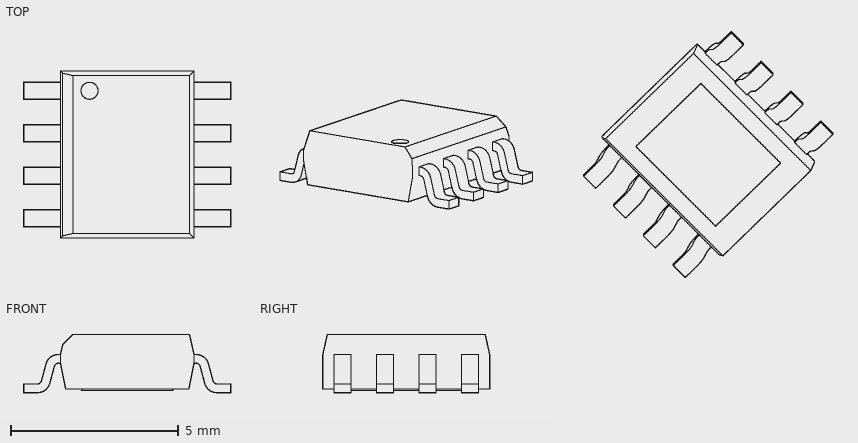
import cadquery as cq
import math

overall_length = 6.2
overall_height = 1.75

housing_length = 4.0
housing_width = 5.0
housing_bottom = 0.11
top_taper = 0.135
bottom_taper = 0.155
bevel_height = 0.305
half_length = housing_length / 2

mark_diameter = 0.51
mark_depth = 0.1
mark_x = -1.13

leads_per_side = 4
lead_pitch = 1.27
lead_width = 0.515
lead_thickness = 0.265
lead_top = 1.15
lead_shoulder = 0.06
inner_bend_radius = 0.12
bend_sweep = math.radians(75)
lead_bottom_at_housing = lead_top - lead_thickness
first_lead_y = lead_pitch * (leads_per_side - 1) / 2

pad_length = 2.73
pad_width = 3.4
pad_thickness = 0.05


def make_housing():
    lower_outline = [
        (-half_length, lead_top),
        (half_length, lead_top),
        (half_length, lead_bottom_at_housing),
        (half_length - bottom_taper, housing_bottom),
        (-half_length + bottom_taper, housing_bottom),
        (-half_length, lead_bottom_at_housing),
    ]
    lower = cq.Workplane("XZ").polyline(lower_outline).close().extrude(housing_width / 2, both=True)

    upper = (
        cq.Workplane("XY", origin=(0, 0, lead_top))
        .rect(housing_length, housing_width)
        .workplane(offset=overall_height - lead_top)
        .rect(housing_length - 2 * top_taper, housing_width - 2 * top_taper)
        .loft(ruled=True)
    )
    return lower.union(upper).cut(make_bevel_cutter()).cut(make_mark_cutter())


def make_bevel_cutter():
    """Triangular prism that takes the 45 degree bevel off the pin-1 side."""
    bevel_bottom = overall_height - bevel_height
    wall_lean = top_taper * (bevel_bottom - lead_top) / (overall_height - lead_top)
    bevel_x = -half_length + wall_lean
    overrun = 0.125
    outline = [
        (bevel_x - overrun, bevel_bottom - overrun),
        (bevel_x + bevel_height + overrun, overall_height + overrun),
        (bevel_x - overrun, overall_height + overrun),
    ]
    return cq.Workplane("XZ").polyline(outline).close().extrude(housing_width, both=True)


def make_mark_cutter():
    mark_floor = overall_height - mark_depth
    return (
        cq.Workplane("XY", origin=(mark_x, first_lead_y, mark_floor))
        .circle(mark_diameter / 2)
        .extrude(mark_depth)
    )


def on_arc(center, radius, angle):
    """Point on a circle, with the angle measured from straight up toward +X."""
    return (center[0] + radius * math.sin(angle), center[1] + radius * math.cos(angle))


def make_right_lead(y):
    """Gull-wing lead on the +X side, centred on the given y."""
    outer_bend_radius = inner_bend_radius + lead_thickness
    foot_end = overall_length / 2

    shoulder_center = (half_length + lead_shoulder, lead_top - outer_bend_radius)
    foot_center_z = lead_thickness + inner_bend_radius
    bend_radii = outer_bend_radius + inner_bend_radius
    leg_top_z = on_arc(shoulder_center, outer_bend_radius, bend_sweep)[1]
    leg_bottom_z = foot_center_z - inner_bend_radius * math.cos(bend_sweep)
    leg_run = (leg_top_z - leg_bottom_z) / math.tan(bend_sweep)
    foot_center = (shoulder_center[0] + bend_radii * math.sin(bend_sweep) + leg_run, foot_center_z)

    half_sweep = bend_sweep / 2
    half_turn = math.pi
    profile = (
        cq.Workplane("XZ", origin=(0, y, 0))
        .moveTo(half_length, lead_top)
        .lineTo(shoulder_center[0], lead_top)
        .threePointArc(
            on_arc(shoulder_center, outer_bend_radius, half_sweep),
            on_arc(shoulder_center, outer_bend_radius, bend_sweep),
        )
        .lineTo(*on_arc(foot_center, inner_bend_radius, half_turn + bend_sweep))
        .threePointArc(
            on_arc(foot_center, inner_bend_radius, half_turn + half_sweep),
            on_arc(foot_center, inner_bend_radius, half_turn),
        )
        .lineTo(foot_end, lead_thickness)
        .lineTo(foot_end, 0)
        .lineTo(foot_center[0], 0)
        .threePointArc(
            on_arc(foot_center, outer_bend_radius, half_turn + half_sweep),
            on_arc(foot_center, outer_bend_radius, half_turn + bend_sweep),
        )
        .lineTo(*on_arc(shoulder_center, inner_bend_radius, bend_sweep))
        .threePointArc(
            on_arc(shoulder_center, inner_bend_radius, half_sweep),
            on_arc(shoulder_center, inner_bend_radius, 0),
        )
        .lineTo(half_length, lead_bottom_at_housing)
        .close()
    )
    return profile.extrude(lead_width / 2, both=True)


def make_leads():
    leads = []
    for i in range(leads_per_side):
        right_lead = make_right_lead(first_lead_y - i * lead_pitch)
        leads.append(right_lead.val())
        leads.append(right_lead.mirror("YZ").val())
    return leads


def make_thermal_pad():
    return (
        cq.Workplane("XY", origin=(0, 0, housing_bottom - pad_thickness))
        .rect(pad_length, pad_width)
        .extrude(pad_thickness)
    )


housing = make_housing()
leads = make_leads()
thermal_pad = make_thermal_pad()

result = cq.Compound.makeCompound([housing.val(), *leads, thermal_pad.val()])